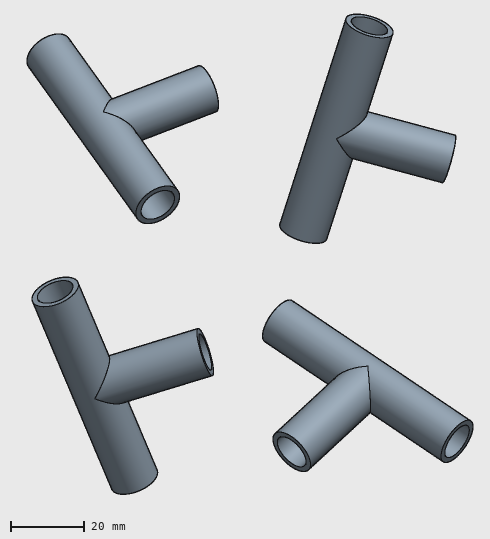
import cadquery as cq

run_length = 64.0
branch_reach = 32.0
outer_diameter = 13.5
bore_diameter = 10.3


def make_run_envelope():
    """Solid outer cylinder of the run, along X and centred on the origin."""
    start = cq.Workplane("YZ", origin=(-run_length / 2, 0, 0))
    return start.circle(outer_diameter / 2).extrude(run_length)


def make_run():
    """Straight through tube along X."""
    return make_run_envelope().faces("<X").workplane().hole(bore_diameter)


def make_branch():
    """Tube along +Y, its inner end coped to sit on the outside of the run."""
    tube = (
        cq.Workplane("XZ")
        .circle(outer_diameter / 2)
        .circle(bore_diameter / 2)
        .extrude(-branch_reach)
    )
    return tube.cut(make_run_envelope())


run = make_run()
branch = make_branch()

result = cq.Compound.makeCompound([run.solids().val(), branch.solids().val()])